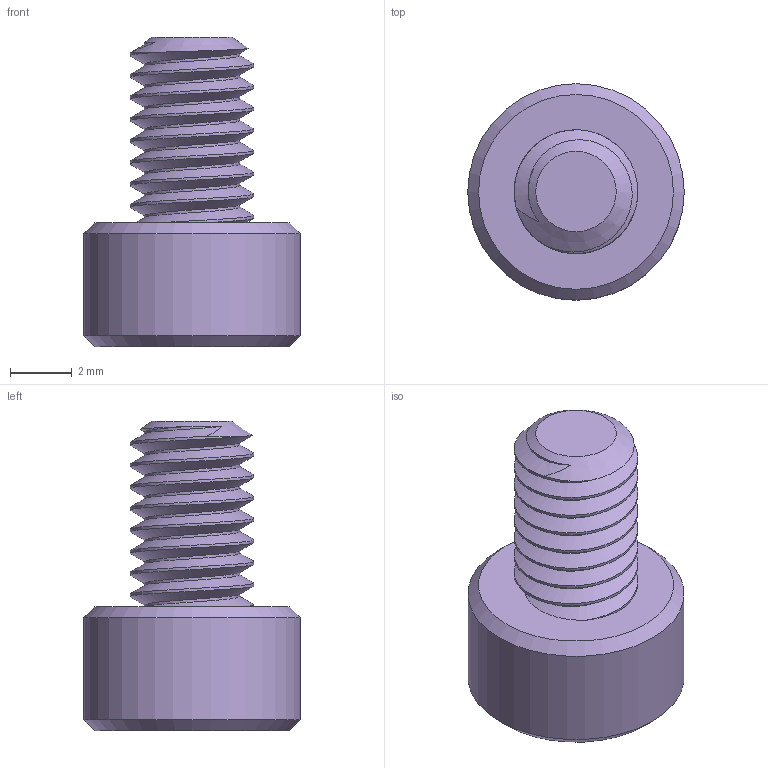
import cadquery as cq
import math

head_diameter = 7.0
head_height = 4.0
head_chamfer = 0.35

thread_diameter = 4.0
shank_length = 6.0
point_diameter = 2.6
point_length = 0.48

pitch = 0.7
flank_angle = 30.0
crest_flat = pitch / 8
root_flat = pitch / 8
groove_rise = 0.55

head_radius = head_diameter / 2
thread_radius = thread_diameter / 2
point_radius = point_diameter / 2
total_height = head_height + shank_length
flank_slope = math.tan(math.radians(flank_angle))
thread_depth = (pitch - crest_flat - root_flat) / 2 / flank_slope
root_radius = thread_radius - thread_depth

cutter_overshoot = 0.05
lead_in_turns = 2


def make_head():
    """Plain cylinder, chamfered at both rims."""
    head = cq.Workplane("XY").circle(head_radius).extrude(head_height)
    return head.faces("|Z").edges().chamfer(head_chamfer)


def make_shank_blank():
    """Unthreaded shank with its conical point."""
    outline = [
        (0, head_height),
        (thread_radius, head_height),
        (thread_radius, total_height - point_length),
        (point_radius, total_height),
        (0, total_height),
    ]
    return cq.Workplane("XZ").polyline(outline).close().revolve(360, (0, 0), (0, 1))


def make_thread_groove():
    """Trapezoidal groove swept along a helix, running out past both shank ends."""
    turns = math.ceil(shank_length / pitch) + lead_in_turns
    start_z = head_height + groove_rise - lead_in_turns * pitch
    outer_radius = thread_radius + cutter_overshoot
    root_half = root_flat / 2
    outer_half = root_half + (outer_radius - root_radius) * flank_slope

    helix = cq.Wire.makeHelix(pitch, turns * pitch, root_radius, center=cq.Vector(0, 0, start_z))
    profile = [
        (root_radius, start_z - root_half),
        (root_radius, start_z + root_half),
        (outer_radius, start_z + outer_half),
        (outer_radius, start_z - outer_half),
    ]
    section = cq.Workplane("XZ").polyline(profile).close()
    return section.sweep(cq.Workplane(obj=helix), isFrenet=True)


threaded_shank = make_shank_blank().cut(make_thread_groove())
result = make_head().union(threaded_shank)